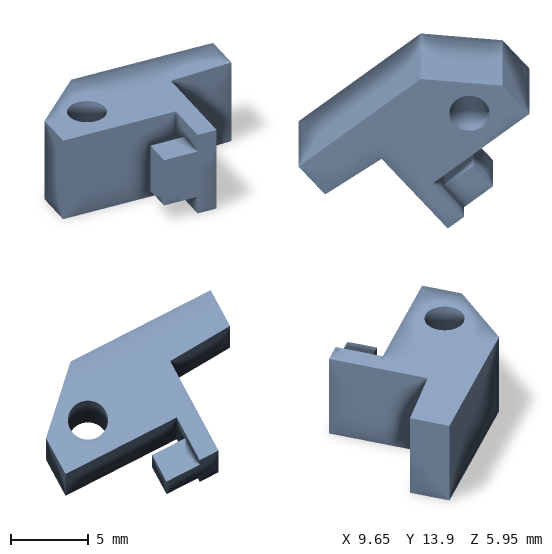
import cadquery as cq

width = 9.65
length = 13.95
height = 5.95

corner_cut = 3.75
stem_width = 6.46
shelf_bottom = 8.09
shelf_top = 9.46
arm_root_width = 2.96
arm_tip_width = 2.68

hole_diameter = 2.58
hole_x = 3.96
hole_y = 2.95

lug_width = 2.0
lug_length = 2.41
lug_height = 3.43


def make_body():
    """Plate with a tapered arm, a side shelf and a cut corner."""
    outline = [
        (corner_cut, 0),
        (stem_width, 0),
        (stem_width, shelf_bottom),
        (width, shelf_bottom),
        (width, shelf_top),
        (arm_root_width, shelf_top),
        (arm_tip_width, length),
        (0, length),
        (0, corner_cut),
    ]
    return cq.Workplane("XY").polyline(outline).close().extrude(height)


def make_lug():
    """Block reaching from inside the shelf toward -Y."""
    lug_start = shelf_bottom - lug_length
    lug_base = (height - lug_height) / 2
    return cq.Workplane("XY").box(
        lug_width, shelf_top - lug_start, lug_height, centered=False
    ).translate((width - lug_width, lug_start, lug_base))


def make_hole():
    """Vertical cylinder that passes through the full height."""
    return cq.Workplane("XY").center(hole_x, hole_y).circle(hole_diameter / 2).extrude(height)


result = make_body().union(make_lug()).cut(make_hole())